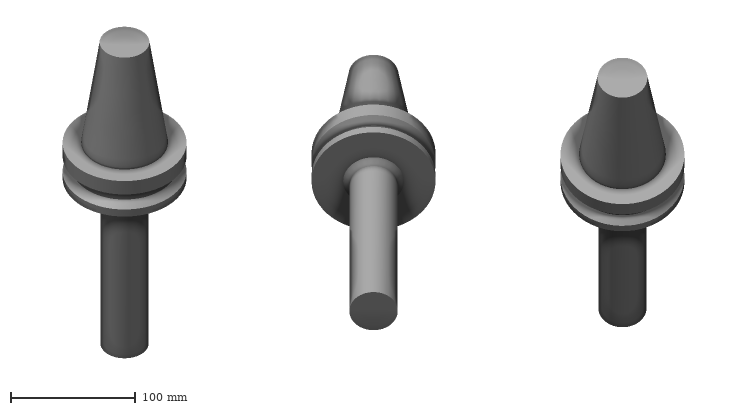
import cadquery as cq
import math

GAUGE_DIAMETER = 69.85
TAPER_LENGTH = 101.8
TAPER_RATE = 7 / 24

NECK_LENGTH = 1.5
FLANGE_DIAMETER = 100.0
FLANGE_BOTTOM = -38.0
GROOVE_DIAMETER = 85.0
GROOVE_CENTRE = -23.0
GROOVE_FLOOR_WIDTH = 6.8
GROOVE_ANGLE = 60

COLLAR_DIAMETER = 49.0
COLLAR_HEIGHT = 5.0
ARBOR_DIAMETER = 39.0
ARBOR_BOTTOM = -208.0

gauge_radius = GAUGE_DIAMETER / 2
tip_radius = gauge_radius - TAPER_LENGTH * TAPER_RATE / 2
flange_radius = FLANGE_DIAMETER / 2
groove_radius = GROOVE_DIAMETER / 2
arbor_radius = ARBOR_DIAMETER / 2
groove_wall_run = (flange_radius - groove_radius) * math.tan(math.radians(GROOVE_ANGLE / 2))
groove_floor_top = GROOVE_CENTRE + GROOVE_FLOOR_WIDTH / 2
groove_floor_bottom = GROOVE_CENTRE - GROOVE_FLOOR_WIDTH / 2

profile = [
    (0, TAPER_LENGTH),
    (tip_radius, TAPER_LENGTH),
    (gauge_radius, 0),
    (gauge_radius, -NECK_LENGTH),
    (flange_radius, -NECK_LENGTH),
    (flange_radius, groove_floor_top + groove_wall_run),
    (groove_radius, groove_floor_top),
    (groove_radius, groove_floor_bottom),
    (flange_radius, groove_floor_bottom - groove_wall_run),
    (flange_radius, FLANGE_BOTTOM),
    (COLLAR_DIAMETER / 2, FLANGE_BOTTOM),
    (arbor_radius, FLANGE_BOTTOM - COLLAR_HEIGHT),
    (arbor_radius, ARBOR_BOTTOM),
    (0, ARBOR_BOTTOM),
]

result = cq.Workplane("XZ").polyline(profile).close().revolve(360, (0, 0), (0, 1))